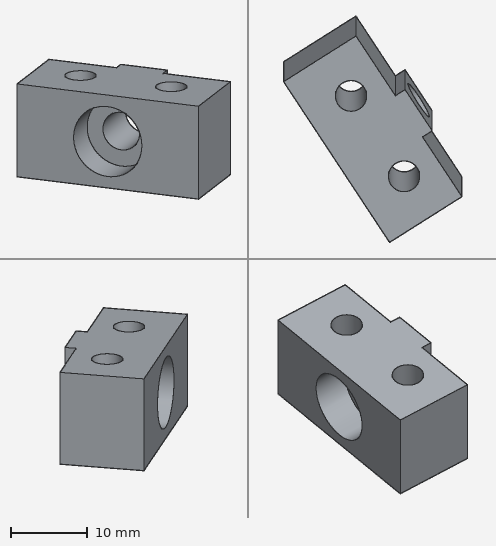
import cadquery as cq

length = 25.4
overall_depth = 12.7
height = 12.7
tongue_width = 6.5
tongue_depth = 1.5
body_depth = overall_depth - tongue_depth

bore_diameter = 5.13
counterbore_diameter = 9.55
counterbore_depth = 4.75

mount_hole_diameter = 4.06
mount_hole_spacing = length / 2
mount_hole_y = overall_depth / 2


def box_from_front(width, depth):
    """Full-height box centred on X and Z, running back from the front face at Y = 0."""
    return cq.Workplane("XY").box(width, depth, height, centered=(True, False, True))


def drill_back(diameter, depth):
    """Cylinder running in +Y from the centre of the front face."""
    return cq.Workplane("XZ").circle(diameter / 2).extrude(-depth)


block = box_from_front(length, body_depth).union(box_from_front(tongue_width, overall_depth))

bore = drill_back(bore_diameter, overall_depth)
counterbore = drill_back(counterbore_diameter, counterbore_depth)

mount_holes = (
    cq.Workplane("XY")
    .pushPoints([(-mount_hole_spacing / 2, mount_hole_y), (mount_hole_spacing / 2, mount_hole_y)])
    .circle(mount_hole_diameter / 2)
    .extrude(height / 2, both=True)
)

result = block.cut(bore).cut(counterbore).cut(mount_holes)